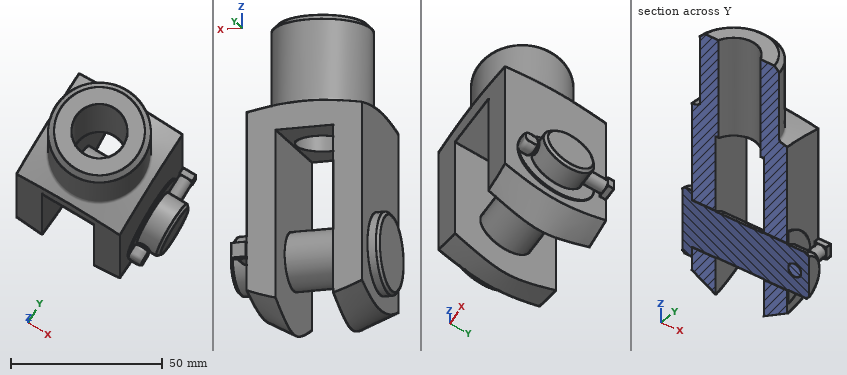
import cadquery as cq
import math

TOTAL_HEIGHT = 105.0
FORK_WIDTH = 40.0
HALF_WIDTH = FORK_WIDTH / 2
CORNER_RADIUS = HALF_WIDTH * math.sqrt(2)
SLOT_WIDTH = FORK_WIDTH / 2
SLOT_TOP = 65.0
TIP_CONE_ANGLE = 30.0
SHOULDER_ANGLE = 15.0

NECK_RADIUS = 17.0
NECK_BASE = 75.0
NECK_CHAMFER = 2.0
NECK_FILLET = 1.0
BORE_DIAMETER = 18.5

PIN_DIAMETER = SLOT_WIDTH
PIN_HEIGHT = 25.0
PIN_PROJECTION = 9.0
PIN_CHAMFER = 1.0
HEAD_DIAMETER = 28.0
HEAD_THICKNESS = 4.0

WASHER_DIAMETER = 30.0
WASHER_THICKNESS = 0.5

LOCK_DIAMETER = 5.0
LOCK_X = HALF_WIDTH + WASHER_THICKNESS + LOCK_DIAMETER / 2
KNOB_DIAMETER = 7.0
KNOB_FILLET = 1.5
KNOB_FRONT = -15.5
KNOB_LENGTH = 5.0
BLOCK_LENGTH = 2.4
LOCK_BACK = 19.5


def x_cylinder(diameter, x_start, length):
    """Cylinder on the cross pin axis."""
    plane = cq.Workplane("YZ", origin=(x_start, 0, PIN_HEIGHT))
    return plane.circle(diameter / 2).extrude(length)


def y_cylinder(diameter, y_start, length):
    """Cylinder on the locking pin axis, running towards +Y."""
    plane = cq.Workplane("XZ", origin=(LOCK_X, y_start, PIN_HEIGHT))
    return plane.circle(diameter / 2).extrude(-length)


def fork_envelope():
    """Turned shape: conical tips, conical shoulder and chamfered neck."""
    outer_radius = CORNER_RADIUS + 1.0
    tip_slope = math.tan(math.radians(TIP_CONE_ANGLE))
    shoulder_slope = math.tan(math.radians(SHOULDER_ANGLE))
    apex = -SLOT_WIDTH / 2 * tip_slope
    tip_edge = apex + outer_radius * tip_slope
    shoulder_edge = NECK_BASE - (outer_radius - NECK_RADIUS) * shoulder_slope

    arc_angle = math.radians(90 - SHOULDER_ANGLE)
    tangent_length = NECK_FILLET * math.tan(arc_angle / 2)
    center_r = NECK_RADIUS + NECK_FILLET
    center_z = NECK_BASE + tangent_length
    cone_end = (
        center_r - NECK_FILLET * math.cos(arc_angle),
        center_z - NECK_FILLET * math.sin(arc_angle),
    )
    arc_middle = (
        center_r - NECK_FILLET * math.cos(arc_angle / 2),
        center_z - NECK_FILLET * math.sin(arc_angle / 2),
    )
    return (
        cq.Workplane("XZ")
        .moveTo(0, apex)
        .lineTo(outer_radius, tip_edge)
        .lineTo(outer_radius, shoulder_edge)
        .lineTo(*cone_end)
        .threePointArc(arc_middle, (NECK_RADIUS, center_z))
        .lineTo(NECK_RADIUS, TOTAL_HEIGHT - NECK_CHAMFER)
        .lineTo(NECK_RADIUS - NECK_CHAMFER, TOTAL_HEIGHT)
        .lineTo(0, TOTAL_HEIGHT)
        .close()
        .revolve(360, (0, 0, 0), (0, 1, 0))
    )


def make_fork():
    bar = cq.Workplane("XY").rect(FORK_WIDTH, FORK_WIDTH).extrude(TOTAL_HEIGHT)
    slot = cq.Workplane("XY").rect(SLOT_WIDTH, FORK_WIDTH).extrude(SLOT_TOP)
    bore = (
        cq.Workplane("XY", origin=(0, 0, SLOT_TOP))
        .circle(BORE_DIAMETER / 2)
        .extrude(TOTAL_HEIGHT - SLOT_TOP)
    )
    pin_hole = x_cylinder(PIN_DIAMETER, -HALF_WIDTH, FORK_WIDTH)
    return bar.intersect(fork_envelope()).cut(slot).cut(bore).cut(pin_hole)


def make_cross_pin():
    head = x_cylinder(HEAD_DIAMETER, -HALF_WIDTH - HEAD_THICKNESS, HEAD_THICKNESS)
    head = head.faces("<X").chamfer(PIN_CHAMFER)
    shank = x_cylinder(PIN_DIAMETER, -HALF_WIDTH, FORK_WIDTH + PIN_PROJECTION)
    shank = shank.faces(">X").chamfer(PIN_CHAMFER)
    lock_hole = y_cylinder(LOCK_DIAMETER, -PIN_DIAMETER / 2, PIN_DIAMETER)
    return head.union(shank).cut(lock_hole)


def make_washer():
    disc = x_cylinder(WASHER_DIAMETER, HALF_WIDTH, WASHER_THICKNESS)
    return disc.cut(x_cylinder(PIN_DIAMETER, HALF_WIDTH, WASHER_THICKNESS))


def make_locking_pin():
    """Round shank with a rounded, flat-sided knob at -Y and a square block at +Y."""
    knob_middle = KNOB_FRONT + KNOB_LENGTH / 2
    knob = y_cylinder(KNOB_DIAMETER, KNOB_FRONT, KNOB_LENGTH).edges().fillet(KNOB_FILLET)
    flats = (
        cq.Workplane("XY")
        .box(LOCK_DIAMETER, KNOB_LENGTH, KNOB_DIAMETER)
        .translate((LOCK_X, knob_middle, PIN_HEIGHT))
    )
    shank = y_cylinder(LOCK_DIAMETER, knob_middle, LOCK_BACK - BLOCK_LENGTH - knob_middle)
    block = (
        cq.Workplane("XY")
        .box(LOCK_DIAMETER, BLOCK_LENGTH, LOCK_DIAMETER)
        .translate((LOCK_X, LOCK_BACK - BLOCK_LENGTH / 2, PIN_HEIGHT))
    )
    return knob.intersect(flats).union(shank).union(block)


fork = make_fork()
cross_pin = make_cross_pin()
washer = make_washer()
locking_pin = make_locking_pin()

result = cq.Compound.makeCompound(
    [fork.val(), cross_pin.val(), washer.val(), locking_pin.val()]
)